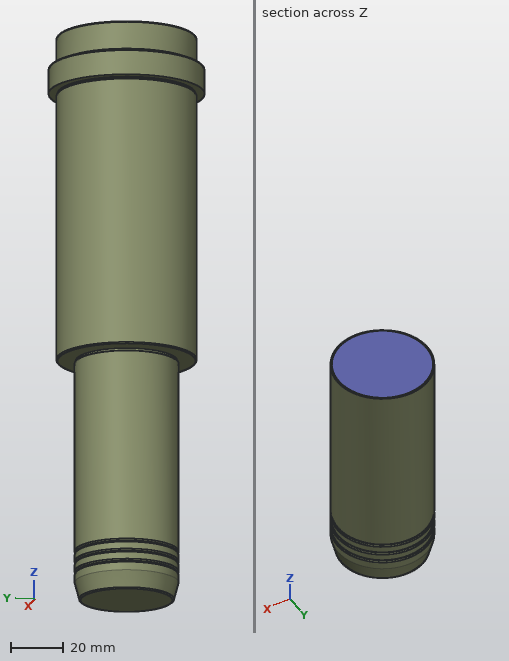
import cadquery as cq
import math

total_length = 223.0
collar_diameter = 60.0
sleeve_diameter = 54.0
pin_diameter = 40.0

head_height = 12.0
collar_height = 10.0
sleeve_end_depth = 128.0

edge_chamfer = 0.5

relief_depth = 0.5
relief_height = 1.0

neck_height = 0.5

lead_length = 7.0
lead_angle = 15.0
tip_chamfer = 0.5

groove_count = 3
groove_pitch = 4.0
groove_width = 1.3
groove_depth = 0.4
lowest_groove_level = 10.7

collar_top = total_length - head_height
collar_bottom = collar_top - collar_height
sleeve_bottom = total_length - sleeve_end_depth
sleeve_radius = sleeve_diameter / 2
pin_radius = pin_diameter / 2
tip_radius = pin_radius - lead_length * math.tan(math.radians(lead_angle))


def disc(diameter, bottom, top):
    """Solid cylinder on the Z axis between two levels."""
    return cq.Workplane("XY").workplane(offset=bottom).circle(diameter / 2).extrude(top - bottom)


def square_groove(surface_radius, depth, bottom, width):
    """Ring that cuts a square groove into a cylinder of the given radius."""
    return (
        cq.Workplane("XY")
        .workplane(offset=bottom)
        .circle(surface_radius + depth)
        .circle(surface_radius - depth)
        .extrude(width)
    )


def vee_groove(surface_radius, depth, middle, width):
    """Ring of triangular section that cuts a V-groove into a cylinder of the given radius."""
    return (
        cq.Workplane("XZ")
        .moveTo(surface_radius, middle - width / 2)
        .lineTo(surface_radius - depth, middle)
        .lineTo(surface_radius, middle + width / 2)
        .close()
        .revolve(360, (0, 0), (0, 1))
    )


def make_pin():
    """Pin with a tapered tip, a relief under the sleeve and ring grooves."""
    lead = (
        cq.Workplane("XY")
        .circle(tip_radius)
        .workplane(offset=lead_length)
        .circle(pin_radius)
        .loft(ruled=True)
        .faces("<Z")
        .chamfer(tip_chamfer)
    )
    pin = lead.union(disc(pin_diameter, lead_length, sleeve_bottom))
    pin = pin.cut(square_groove(pin_radius, relief_depth, sleeve_bottom - relief_height, relief_height))
    for index in range(groove_count):
        middle = lowest_groove_level + index * groove_pitch
        pin = pin.cut(vee_groove(pin_radius, groove_depth, middle, groove_width))
    return pin


def make_sleeve():
    """Sleeve chamfered at both ends, joined to the collar by a short neck."""
    sleeve_top = collar_bottom - neck_height
    sleeve = disc(sleeve_diameter, sleeve_bottom, sleeve_top).faces("<Z or >Z").chamfer(edge_chamfer)
    neck = disc(sleeve_diameter - 2 * edge_chamfer, sleeve_top, collar_bottom)
    return sleeve.union(neck)


def make_head():
    """Head above the collar, with a fine upper chamfer and a relief against the collar."""
    head = disc(sleeve_diameter, collar_top, total_length).faces(">Z").chamfer(edge_chamfer)
    return head.cut(square_groove(sleeve_radius, relief_depth, collar_top, relief_height))


def make_collar():
    """Collar with a chamfered upper edge."""
    return disc(collar_diameter, collar_bottom, collar_top).faces(">Z").chamfer(edge_chamfer)


result = make_pin().union(make_sleeve()).union(make_head()).union(make_collar())